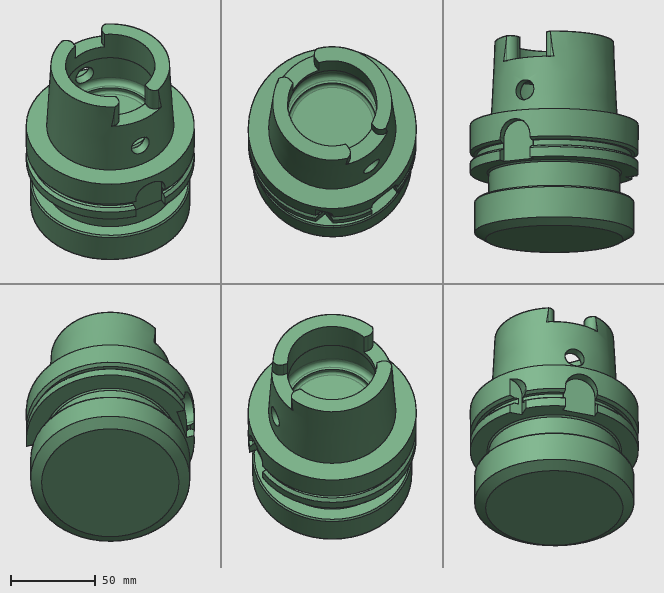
import cadquery as cq

total_height = 118.9
shoulder_z = 69.0
flange_bottom_z = 40.1
groove_top_z = 51.0
groove_bottom_z = 47.3
neck_bottom_z = 23.1

base_radius = 94.6 / 2
base_top_chamfer = 1.0
base_bottom_chamfer_width = 6.5
base_bottom_chamfer_height = 3.8
neck_radius = 78.0 / 2
neck_relief = 1.0
flange_radius = 99.9 / 2
groove_radius = 45.9
groove_lip_radius = 47.8
groove_upper_chamfer = 1.3
groove_lower_chamfer = 1.5
taper_base_radius = 75.6 / 2
taper_ratio = 1 / 10
taper_top_radius = taper_base_radius - (total_height - shoulder_z) * taper_ratio / 2

bore_radius = 53.0 / 2
chamber_radius = 63.1 / 2
bore_end_z = 99.4
chamber_bottom_z = 74.4
chamber_fillet = 3.6
pocket_depth = 3.6
pocket_fillet = 1.7

cross_hole_radius = 12.0 / 2
cross_hole_z = 83.8
slot_half_width = 10.0
tooth_face_x = 32.1
tooth_round = 5.0
flare_end_x = 29.7
flare_end_y = 20.6
left_notch_z = 108.7
right_notch_z = 103.6
flange_slot_floor = 44.2
flange_slot_top_z = 64.0
index_slot_floor = 31.4
index_slot_side_y = 31.4


def make_body():
    """Revolve the stepped outer outline about Z."""
    return (
        cq.Workplane("XZ")
        .lineTo(base_radius - base_bottom_chamfer_width, 0)
        .lineTo(base_radius, base_bottom_chamfer_height)
        .lineTo(base_radius, neck_bottom_z - base_top_chamfer)
        .lineTo(base_radius - base_top_chamfer, neck_bottom_z)
        .lineTo(neck_radius, neck_bottom_z)
        .lineTo(neck_radius, flange_bottom_z - neck_relief)
        .lineTo(neck_radius + neck_relief, flange_bottom_z)
        .lineTo(flange_radius, flange_bottom_z)
        .lineTo(flange_radius, groove_bottom_z - groove_lower_chamfer)
        .lineTo(groove_lip_radius, groove_bottom_z)
        .lineTo(groove_radius, groove_bottom_z)
        .lineTo(groove_radius, groove_top_z)
        .lineTo(groove_lip_radius, groove_top_z)
        .lineTo(flange_radius, groove_top_z + groove_upper_chamfer)
        .lineTo(flange_radius, shoulder_z)
        .lineTo(taper_base_radius, shoulder_z)
        .lineTo(taper_top_radius, total_height)
        .lineTo(0, total_height)
        .close()
        .revolve(360, (0, 0), (0, 1))
    )


def make_bore():
    """Blind bore that steps out into a chamber, then back in to a shallow pocket."""
    pocket_floor_z = chamber_bottom_z - pocket_depth
    return (
        cq.Workplane("XZ")
        .moveTo(0, pocket_floor_z)
        .lineTo(bore_radius - pocket_fillet, pocket_floor_z)
        .tangentArcPoint((bore_radius, pocket_floor_z + pocket_fillet), relative=False)
        .lineTo(bore_radius, chamber_bottom_z)
        .lineTo(chamber_radius - chamber_fillet, chamber_bottom_z)
        .tangentArcPoint((chamber_radius, chamber_bottom_z + chamber_fillet), relative=False)
        .lineTo(chamber_radius, bore_end_z)
        .lineTo(bore_radius, bore_end_z)
        .lineTo(bore_radius, total_height)
        .lineTo(0, total_height)
        .close()
        .revolve(360, (0, 0), (0, 1))
    )


def make_cross_hole():
    """Radial hole through both walls of the taper."""
    return (
        cq.Workplane("YZ")
        .center(0, cross_hole_z)
        .circle(cross_hole_radius)
        .extrude(flange_radius, both=True)
    )


def make_drive_notch(side, floor_z):
    """Notch in the rim on one X side (-1 or 1), flaring outward around rounded teeth."""
    nose_x = side * (tooth_face_x - tooth_round)
    face_x = side * tooth_face_x
    face_y = slot_half_width + tooth_round
    end_x = side * flare_end_x
    outside_x = side * flange_radius
    half_notch = (
        cq.Workplane("XY", origin=(0, 0, floor_z))
        .moveTo(0, -slot_half_width)
        .lineTo(nose_x, -slot_half_width)
        .tangentArcPoint((face_x, -face_y), relative=False)
        .tangentArcPoint((end_x, -flare_end_y), relative=False)
        .lineTo(outside_x, -flare_end_y)
        .lineTo(outside_x, 0)
        .lineTo(0, 0)
        .close()
        .extrude(total_height - floor_z)
    )
    return half_notch.union(half_notch.mirror("XZ"))


def make_flange_slot(side, floor_distance, center_y):
    """Round-topped slot in the flange, open below, with a flat floor normal to X."""
    arc_z = flange_slot_top_z - slot_half_width
    return (
        cq.Workplane("YZ", origin=(side * floor_distance, 0, 0))
        .moveTo(center_y - slot_half_width, flange_bottom_z)
        .lineTo(center_y - slot_half_width, arc_z)
        .threePointArc((center_y, flange_slot_top_z), (center_y + slot_half_width, arc_z))
        .lineTo(center_y + slot_half_width, flange_bottom_z)
        .close()
        .extrude(side * flange_radius)
    )


result = make_body().cut(make_bore()).cut(make_cross_hole())

for side, notch_z in ((-1, left_notch_z), (1, right_notch_z)):
    result = result.cut(make_drive_notch(side, notch_z))
    result = result.cut(make_flange_slot(side, flange_slot_floor, 0))

index_slot_y = index_slot_side_y + slot_half_width
result = result.cut(make_flange_slot(-1, index_slot_floor, index_slot_y))